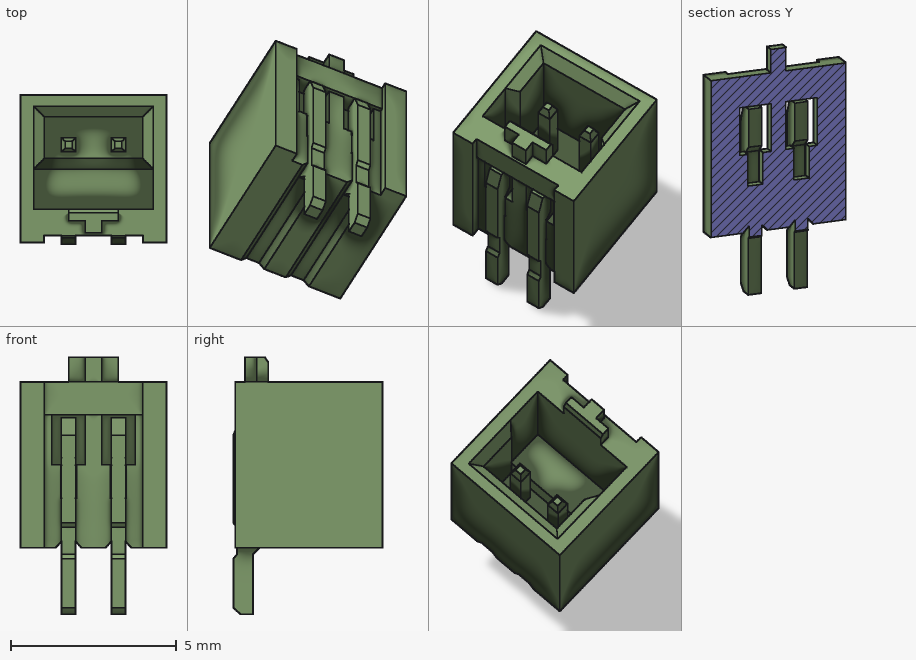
import cadquery as cq

BODY_WIDTH = 4.4
BODY_DEPTH = 4.45
BODY_HEIGHT = 5.01

RELIEF_WIDTH = 2.975
RELIEF_DEPTH = 0.21
LOWER_RELIEF_DEPTH = 0.31
LINTEL_BOTTOM = 4.01

CAVITY_WIDTH = 3.6
CAVITY_FRONT = 1.0
CAVITY_BACK = 4.11
CHANNEL_BACK = 2.22
CHANNEL_FLOOR = 1.185
POCKET_FLOOR = 1.55
BEVEL = 0.32

CONTACT_PITCH = 1.5
CONTACT_WIDTH = 0.43
PIN_Y = 2.945
PIN_TOP = 4.01
PIN_TIP_WIDTH = 0.21
PIN_TAPER = 0.26
LEG_FACE = -0.055
LEG_NECK_FACE = 0.055
LEG_BACK = 0.54
LEG_ROOT_RISE = 0.19
LEG_ROOT_BACK = LEG_BACK + 2 * LEG_ROOT_RISE
LEG_BOTTOM = -2.0
LEG_TOP = 3.93
LEG_TOP_SLOPE_RUN = 0.2
LEG_TOP_SLOPE_HEIGHT = 0.535
NECK_TOP = 0.62
NECK_BOTTOM = -0.19
NECK_STEP_HEIGHT = 0.13
FOOT_CHAMFER_RUN = 0.22
FOOT_CHAMFER_HEIGHT = 0.19
STEM_BACK = 0.35
HEAD_BACK = 0.58
HEAD_BOTTOM = 2.72
PIN_BURIED = 0.31

WINDOW_WIDTH = 1.01
WINDOW_BOTTOM = 2.5
WINDOW_BACK = 0.74
SLOT_WIDTH = 0.48
SLOT_BOTTOM = 1.495
NOTCH_WIDTH = 0.78
NOTCH_HEIGHT = 0.19

KEY_HEIGHT = 0.745
KEY_WIDTH = 1.5
KEY_FRONT = 0.65
KEY_CHAMFER_DEPTH = 0.1
KEY_CHAMFER_HEIGHT = 0.155
RIB_WIDTH = 0.5
RIB_FRONT = 0.295


def block(center_x, width, y_range, z_range):
    """Axis-aligned box, centred on center_x, between the given y and z limits."""
    y0, y1 = y_range
    z0, z1 = z_range
    corner = (center_x - width / 2, y0, z0)
    return cq.Workplane("XY").box(width, y1 - y0, z1 - z0, centered=False).translate(corner)


def side_profile(points, center_x, width):
    """Extrude an outline of (y, z) points along x, centred on center_x."""
    return (
        cq.Workplane("YZ", origin=(center_x - width / 2, 0, 0))
        .polyline(points)
        .close()
        .extrude(width)
    )


def mating_cavity():
    """Front channel whose floor ramps up to the pocket, under a rim bevelled at 45 degrees."""
    channel = block(0, CAVITY_WIDTH, (CAVITY_FRONT, CHANNEL_BACK), (CHANNEL_FLOOR, BODY_HEIGHT))
    pocket_depth = CAVITY_BACK - CHANNEL_BACK
    center_y = (CAVITY_BACK + CHANNEL_BACK) / 2
    bevel = (
        cq.Workplane("XY", origin=(0, center_y, BODY_HEIGHT))
        .rect(CAVITY_WIDTH, pocket_depth)
        .workplane(offset=-BEVEL)
        .rect(CAVITY_WIDTH - 2 * BEVEL, pocket_depth - 2 * BEVEL)
        .loft(ruled=True)
    )
    half_width = CAVITY_WIDTH / 2
    inner_half = half_width - BEVEL
    inner_front = CHANNEL_BACK + BEVEL
    inner_back = CAVITY_BACK - BEVEL
    pocket = block(0, 2 * inner_half, (inner_front, inner_back), (POCKET_FLOOR, BODY_HEIGHT))
    throat_outline = (
        cq.Workplane("XY", origin=(0, 0, CHANNEL_FLOOR))
        .polyline([
            (-half_width, CHANNEL_BACK),
            (half_width, CHANNEL_BACK),
            (inner_half, inner_front),
            (-inner_half, inner_front),
        ])
        .close()
        .extrude(BODY_HEIGHT - CHANNEL_FLOOR)
    )
    above_ramp = side_profile(
        [
            (CHANNEL_BACK, CHANNEL_FLOOR),
            (inner_front, POCKET_FLOOR),
            (inner_front, BODY_HEIGHT),
            (CHANNEL_BACK, BODY_HEIGHT),
        ],
        0,
        CAVITY_WIDTH,
    )
    throat = throat_outline.intersect(above_ramp)
    return channel.union(bevel).union(pocket).union(throat)


def contact_openings(x):
    """Window and slot behind a leg, plus the flared notch along the underside."""
    window = block(x, WINDOW_WIDTH, (RELIEF_DEPTH, WINDOW_BACK), (WINDOW_BOTTOM, LINTEL_BOTTOM))
    slot = block(x, SLOT_WIDTH, (RELIEF_DEPTH, WINDOW_BACK), (SLOT_BOTTOM, WINDOW_BOTTOM))
    notch = (
        cq.Workplane("XZ")
        .polyline([
            (x - NOTCH_WIDTH / 2, 0),
            (x + NOTCH_WIDTH / 2, 0),
            (x + CONTACT_WIDTH / 2, NOTCH_HEIGHT),
            (x - CONTACT_WIDTH / 2, NOTCH_HEIGHT),
        ])
        .close()
        .extrude(-BODY_DEPTH)
    )
    return window.union(slot).union(notch)


def contact(x):
    """Flat leg at the front of the body and square pin in the pocket."""
    leg = side_profile(
        [
            (LEG_FACE, LEG_TOP - LEG_TOP_SLOPE_HEIGHT),
            (LEG_FACE, NECK_TOP + NECK_STEP_HEIGHT),
            (LEG_NECK_FACE, NECK_TOP),
            (LEG_NECK_FACE, NECK_BOTTOM),
            (LEG_FACE, NECK_BOTTOM - NECK_STEP_HEIGHT),
            (LEG_FACE, LEG_BOTTOM + FOOT_CHAMFER_HEIGHT),
            (LEG_FACE + FOOT_CHAMFER_RUN, LEG_BOTTOM),
            (LEG_BACK, LEG_BOTTOM),
            (LEG_BACK, -LEG_ROOT_RISE),
            (LEG_ROOT_BACK, LEG_ROOT_RISE),
            (LEG_ROOT_BACK, SLOT_BOTTOM),
            (STEM_BACK, SLOT_BOTTOM),
            (STEM_BACK, HEAD_BOTTOM - (HEAD_BACK - STEM_BACK)),
            (HEAD_BACK, HEAD_BOTTOM),
            (HEAD_BACK, LEG_TOP),
            (LEG_FACE + LEG_TOP_SLOPE_RUN, LEG_TOP),
        ],
        x,
        CONTACT_WIDTH,
    )
    pin_bottom = POCKET_FLOOR - PIN_BURIED
    taper_start = PIN_TOP - PIN_TAPER
    pin = (
        cq.Workplane("XY", origin=(x, PIN_Y, pin_bottom))
        .rect(CONTACT_WIDTH, CONTACT_WIDTH)
        .extrude(taper_start - pin_bottom)
    )
    tip = (
        cq.Workplane("XY", origin=(x, PIN_Y, taper_start))
        .rect(CONTACT_WIDTH, CONTACT_WIDTH)
        .workplane(offset=PIN_TAPER)
        .rect(PIN_TIP_WIDTH, PIN_TIP_WIDTH)
        .loft(ruled=True)
    )
    return leg.union(pin).union(tip)


def key():
    """T-shaped key rising from the front wall, chamfered on its cavity side."""
    top = BODY_HEIGHT + KEY_HEIGHT
    bar = side_profile(
        [
            (KEY_FRONT, BODY_HEIGHT),
            (CAVITY_FRONT, BODY_HEIGHT),
            (CAVITY_FRONT, top - KEY_CHAMFER_HEIGHT),
            (CAVITY_FRONT - KEY_CHAMFER_DEPTH, top),
            (KEY_FRONT, top),
        ],
        0,
        KEY_WIDTH,
    )
    rib = block(0, RIB_WIDTH, (RIB_FRONT, KEY_FRONT), (BODY_HEIGHT, top))
    return bar.union(rib)


body = block(0, BODY_WIDTH, (0, BODY_DEPTH), (0, BODY_HEIGHT))
body = body.cut(block(0, RELIEF_WIDTH, (0, RELIEF_DEPTH), (0, BODY_HEIGHT)))
body = body.cut(block(0, RELIEF_WIDTH, (0, LOWER_RELIEF_DEPTH), (0, LINTEL_BOTTOM)))
body = body.cut(mating_cavity())

contact_positions = [-CONTACT_PITCH / 2, CONTACT_PITCH / 2]
for x in contact_positions:
    body = body.cut(contact_openings(x))

result = body.union(key())
for x in contact_positions:
    result = result.union(contact(x))